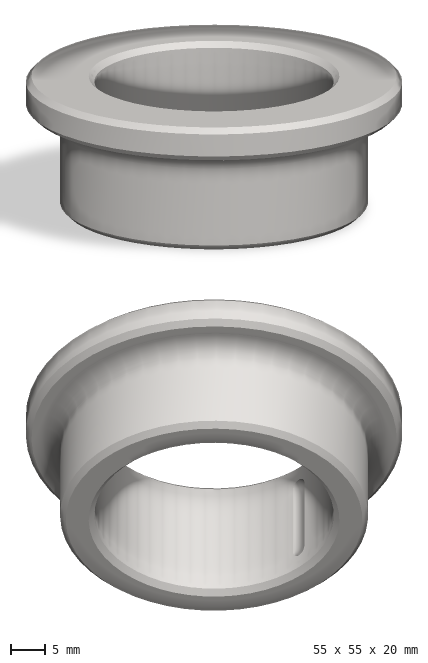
import cadquery as cq

flange_diameter = 55.0
sleeve_diameter = 45.0
bore_diameter = 35.0
height = 20.0
flange_thickness = 5.0
chamfer = 0.8
neck_fillet = 2.5

groove_radius = 1.15
groove_length = 13.95

flange_bottom = height - flange_thickness


def make_bushing():
    """Revolve the half section of the sleeve, flange and bore."""
    bore_radius = bore_diameter / 2
    sleeve_radius = sleeve_diameter / 2
    flange_radius = flange_diameter / 2
    fillet_center = (sleeve_radius + neck_fillet, flange_bottom - neck_fillet)
    fillet_reach = neck_fillet * 0.5 ** 0.5
    fillet_middle = (fillet_center[0] - fillet_reach, fillet_center[1] + fillet_reach)
    section = (
        cq.Workplane("XZ")
        .moveTo(bore_radius + chamfer, 0)
        .lineTo(sleeve_radius - chamfer, 0)
        .lineTo(sleeve_radius, chamfer)
        .lineTo(sleeve_radius, fillet_center[1])
        .threePointArc(fillet_middle, (fillet_center[0], flange_bottom))
        .lineTo(flange_radius - chamfer, flange_bottom)
        .lineTo(flange_radius, flange_bottom + chamfer)
        .lineTo(flange_radius, height - chamfer)
        .lineTo(flange_radius - chamfer, height)
        .lineTo(bore_radius + chamfer, height)
        .lineTo(bore_radius, height - chamfer)
        .lineTo(bore_radius, chamfer)
        .close()
    )
    return section.revolve(360, (0, 0, 0), (0, 1, 0))


def make_oil_groove():
    """Round bar with ball ends, centred on the bore wall at mid height."""
    straight_length = groove_length - 2 * groove_radius
    bar = cq.Workplane("XY").circle(groove_radius).extrude(straight_length / 2, both=True)
    for end in (-straight_length / 2, straight_length / 2):
        bar = bar.union(cq.Workplane("XY").sphere(groove_radius).translate((0, 0, end)))
    return bar.translate((bore_diameter / 2, 0, height / 2))


result = make_bushing().cut(make_oil_groove())